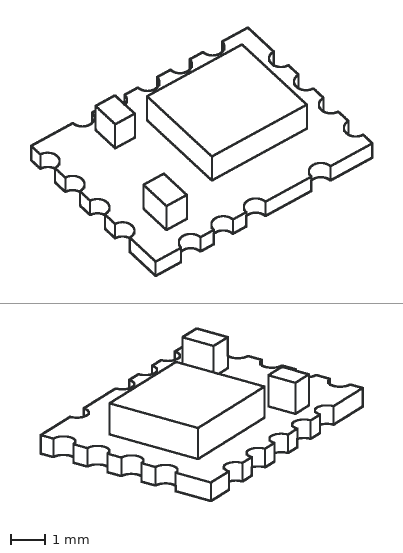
import cadquery as cq

board_width = 6.0
board_length = 8.0
board_thickness = 0.6
total_height = 1.6
component_height = total_height - board_thickness

notch_radius = 0.35
notch_pitch = 1.2
left_first_y = -2.1
right_first_y = -2.7
front_first_x = -2.2
back_first_x = -1.4
left_steps = [0, 1, 2, 3, 4]
right_steps = [0, 1, 2, 4]
front_steps = [0, 1, 2, 3]
back_steps = [0, 1, 2, 3]

module_size = (3.12, 3.5)
module_center = (-0.21, 1.09)
left_chip_size = (0.95, 0.72)
left_chip_center = (-1.9, -1.74)
right_chip_size = (1.1, 0.75)
right_chip_center = (1.61, -2.58)


def notch_centers():
    """Centres of all the notches, on the four edges of the board."""
    half_width = board_width / 2
    half_length = board_length / 2
    left = [(-half_width, left_first_y + step * notch_pitch) for step in left_steps]
    right = [(half_width, right_first_y + step * notch_pitch) for step in right_steps]
    front = [(front_first_x + step * notch_pitch, -half_length) for step in front_steps]
    back = [(back_first_x + step * notch_pitch, half_length) for step in back_steps]
    return left + right + front + back


def make_board():
    """Flat board with a half-round notch cut through at each edge contact."""
    plate = cq.Workplane("XY").rect(board_width, board_length).extrude(board_thickness)
    notches = (
        cq.Workplane("XY")
        .pushPoints(notch_centers())
        .circle(notch_radius)
        .extrude(board_thickness)
    )
    return plate.cut(notches)


def make_component(size, center):
    """Rectangular block standing on top of the board."""
    return (
        cq.Workplane("XY", origin=(0, 0, board_thickness))
        .center(*center)
        .rect(*size)
        .extrude(component_height)
    )


board = make_board()
module = make_component(module_size, module_center)
left_chip = make_component(left_chip_size, left_chip_center)
right_chip = make_component(right_chip_size, right_chip_center)

result = cq.Compound.makeCompound(
    [board.val(), module.val(), left_chip.val(), right_chip.val()]
)